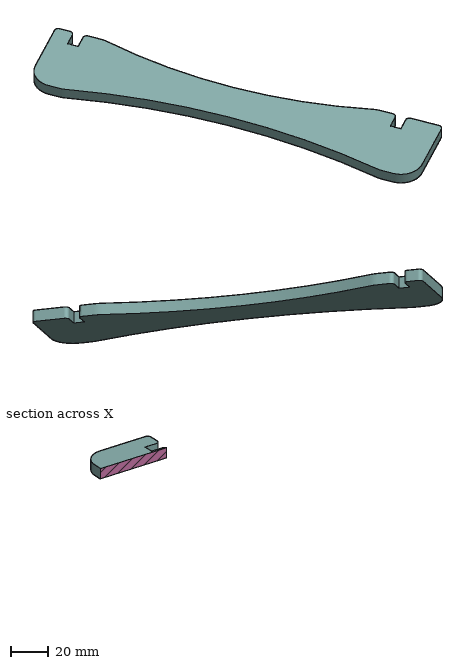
import cadquery as cq

LENGTH = 220.4
WIDTH = 43.6
THICKNESS = 6.5

UPPER_CENTER_X = -5.0
SLOT_SPACING = 183.8
SLOT_WIDTH = 6.0
SLOT_DEPTH = 9.5

WAIST_DEPTH = 10.5
UPPER_WAIST_SPAN = 155.1
LOWER_WAIST_SPAN = 180.2

LOWER_CORNER_RADIUS = 12.1
UPPER_CORNER_RADIUS = 2.2
WAIST_BLEND_RADIUS = 15.0

TOP_Y = WIDTH / 2
BOTTOM_Y = -WIDTH / 2
CUT_OVERRUN = 2.2


def round_edges(body, points, radius):
    """Fillet the vertical edges standing at the given XY points."""
    for x, y in points:
        edge = cq.selectors.NearestToPointSelector((x, y, THICKNESS / 2))
        body = body.edges("|Z").edges(edge).fillet(radius)
    return body


def span_ends(center_x, span):
    """Left and right X of a span about a centre."""
    return center_x - span / 2, center_x + span / 2


upper_waist = span_ends(UPPER_CENTER_X, UPPER_WAIST_SPAN)
lower_waist = span_ends(0, LOWER_WAIST_SPAN)
plate_ends = span_ends(0, LENGTH)
slot_centers = span_ends(UPPER_CENTER_X, SLOT_SPACING)

plate = (
    cq.Workplane("XY")
    .moveTo(plate_ends[0], BOTTOM_Y)
    .lineTo(lower_waist[0], BOTTOM_Y)
    .threePointArc((0, BOTTOM_Y + WAIST_DEPTH), (lower_waist[1], BOTTOM_Y))
    .lineTo(plate_ends[1], BOTTOM_Y)
    .lineTo(plate_ends[1], TOP_Y)
    .lineTo(upper_waist[1], TOP_Y)
    .threePointArc((UPPER_CENTER_X, TOP_Y - WAIST_DEPTH), (upper_waist[0], TOP_Y))
    .lineTo(plate_ends[0], TOP_Y)
    .close()
    .extrude(THICKNESS)
)

slots = (
    cq.Workplane("XY")
    .pushPoints([(x, TOP_Y - SLOT_DEPTH / 2 + CUT_OVERRUN / 2) for x in slot_centers])
    .rect(SLOT_WIDTH, SLOT_DEPTH + CUT_OVERRUN)
    .extrude(THICKNESS)
)
plate = plate.cut(slots)

slot_mouths = [x for center in slot_centers for x in span_ends(center, SLOT_WIDTH)]
lower_corners = [(x, BOTTOM_Y) for x in plate_ends]
upper_corners = [(x, TOP_Y) for x in [*plate_ends, *slot_mouths]]
waist_corners = [(x, TOP_Y) for x in upper_waist] + [(x, BOTTOM_Y) for x in lower_waist]

plate = round_edges(plate, lower_corners, LOWER_CORNER_RADIUS)
plate = round_edges(plate, upper_corners, UPPER_CORNER_RADIUS)
result = round_edges(plate, waist_corners, WAIST_BLEND_RADIUS)